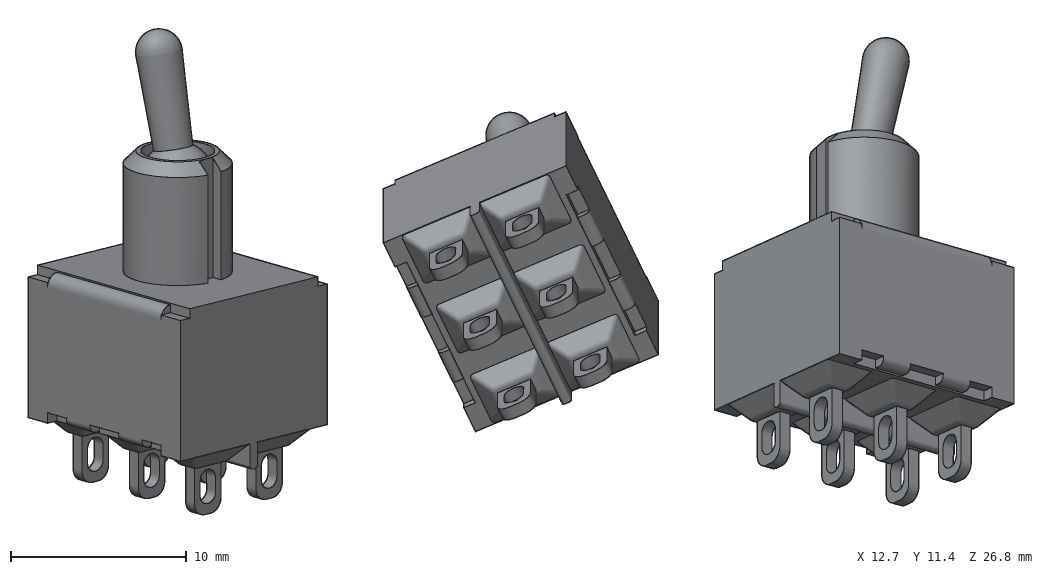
import cadquery as cq
import math


case_length = 12.7
case_width = 11.42
total_height = 26.8

case_bottom = 4.0
case_top = 12.87
panel_thickness = 0.72
panel_outer = case_width / 2
panel_inner = panel_outer - panel_thickness
window_length = 9.46
corner_notch_depth = 0.55
top_lip_drop = 0.095
window_top = 4.6

tab_length = 1.95
tab_offset = 2.17
tab_drop = 0.08
tab_bend_radius = 0.43

rib_thickness = 0.6
rib_bottom = 2.47
rib_edge_radius = 0.25

bushing_radius = 3.1
bushing_top = 19.97
bushing_chamfer = 0.72
keyway_width = 1.05
keyway_floor = bushing_radius - bushing_chamfer

terminal_pitch = 4.7
terminal_row_offset = 2.39
terminal_thickness = 0.75
terminal_width = 2.06
terminal_corner_radius = 0.8
eye_width = 1.2
eye_height = 2.0
eye_bottom = 0.62
base_length = 3.25
base_width = 4.45
base_height = 1.07
base_corner_radius = 0.32
base_taper_angle = 42.0
base_edge_radius = 0.43

ball_diameter = 4.2
ball_radius = ball_diameter / 2
ball_center = (0, 0, 18.35)
lever_tilt = 12.4
stem_root_radius = 1.07
stem_tip_radius = 1.35
stem_length = (total_height - stem_tip_radius - ball_center[2]) / math.cos(math.radians(lever_tilt))


def make_ball():
    """Ball of the lever, also used to form its seat in the bushing."""
    return cq.Workplane("XY").sphere(ball_radius).translate(ball_center)


def block_between(length, y_near, y_far, z_low, z_high, center_x=0):
    """Box centred on center_x along X, between the given Y and Z limits."""
    return (
        cq.Workplane("XY", origin=(center_x, (y_near + y_far) / 2, z_low))
        .box(length, abs(y_far - y_near), z_high - z_low, centered=(True, True, False))
    )


def make_core():
    """Middle of the case, between the two side panels."""
    return block_between(case_length, -panel_inner, panel_inner, case_bottom, case_top)


def make_side_panel():
    """Panel on the -Y side: square upper corners, a rolled upper lip, and a lower window."""
    lip_top = case_top - top_lip_drop
    lip_start = lip_top - panel_thickness
    shoulder = case_top - corner_notch_depth
    panel = block_between(case_length, -panel_outer, -panel_inner, case_bottom, shoulder)

    lip_space = block_between(window_length, -panel_outer, -panel_inner, lip_start, case_top)
    lip = (
        cq.Workplane("YZ", origin=(-window_length / 2, 0, 0))
        .moveTo(-panel_inner, lip_start)
        .lineTo(-panel_outer, lip_start)
        .radiusArc((-panel_inner, lip_top), panel_thickness)
        .close()
        .extrude(window_length)
    )
    window = block_between(window_length, -panel_outer, -panel_inner, case_bottom, window_top)
    panel = panel.cut(lip_space).union(lip).cut(window)
    for center_x in (-tab_offset, tab_offset):
        panel = panel.union(make_bent_tab(center_x))
    return panel


def make_bent_tab(center_x):
    """Tab at the top of the lower window, bent inward under the case."""
    bend_top = window_top - tab_drop
    tab_bottom = bend_top - tab_bend_radius
    return (
        cq.Workplane("YZ", origin=(center_x - tab_length / 2, 0, 0))
        .moveTo(-panel_outer, window_top)
        .lineTo(-panel_outer, bend_top)
        .radiusArc((-panel_outer + tab_bend_radius, tab_bottom), -tab_bend_radius)
        .lineTo(-panel_inner, tab_bottom)
        .lineTo(-panel_inner, window_top)
        .close()
        .extrude(tab_length)
    )


def make_rib():
    """Dividing rib under the case, with rounded lower edges."""
    rib = block_between(case_length, -rib_thickness / 2, rib_thickness / 2, rib_bottom, case_bottom)
    return rib.faces("<Z").edges("|X").fillet(rib_edge_radius)


def make_bushing():
    """Chamfered bushing with a keyway along its +X side."""
    bushing = (
        cq.Workplane("XY", origin=(0, 0, case_top))
        .circle(bushing_radius)
        .extrude(bushing_top - case_top)
        .faces(">Z")
        .chamfer(bushing_chamfer)
    )
    keyway = (
        cq.Workplane("XY", origin=(keyway_floor, 0, case_top))
        .box(bushing_radius, keyway_width, bushing_top - case_top, centered=(False, True, False))
    )
    return bushing.cut(keyway)


def make_ball_seat():
    """Bore from the top of the bushing down to a round seat for the ball."""
    bore = (
        cq.Workplane("XY", origin=ball_center)
        .circle(ball_radius)
        .extrude(bushing_top - ball_center[2])
    )
    return bore.union(make_ball())


def make_terminal(center_x, center_y):
    """Solder terminal with a slotted eye, hanging from a tapered base."""
    base = (
        cq.Workplane("XY", origin=(center_x, center_y, case_bottom))
        .rect(base_length, base_width)
        .extrude(-base_height, taper=base_taper_angle)
        .edges("not #Z")
        .fillet(base_corner_radius)
        .faces("<Z")
        .edges()
        .fillet(base_edge_radius)
    )
    blade = (
        cq.Workplane("XY", origin=(center_x, center_y, 0))
        .box(terminal_thickness, terminal_width, case_bottom, centered=(True, True, False))
        .faces("<Z")
        .edges("|X")
        .fillet(terminal_corner_radius)
    )
    eye = (
        cq.Workplane("YZ", origin=(center_x, center_y, eye_bottom + eye_height / 2))
        .slot2D(eye_height, eye_width, 90)
        .extrude(terminal_thickness, both=True)
    )
    return base.union(blade).cut(eye)


def make_housing():
    """Case, bushing, rib and terminals as one solid."""
    panel = make_side_panel()
    housing = make_core().union(panel).union(panel.mirror("XZ"))
    housing = housing.union(make_rib()).union(make_bushing()).cut(make_ball_seat())
    for column in (-1, 0, 1):
        for row in (-1, 1):
            housing = housing.union(make_terminal(column * terminal_pitch, row * terminal_row_offset))
    return housing


def make_lever():
    """Ball with a flared, round-tipped stem, tilted toward -X about the centre of the ball."""
    stem = (
        cq.Workplane("XZ")
        .lineTo(stem_root_radius, 0)
        .lineTo(stem_tip_radius, stem_length)
        .radiusArc((0, stem_length + stem_tip_radius), -stem_tip_radius)
        .close()
        .revolve(360, (0, 0, 0), (0, 1, 0))
        .rotate((0, 0, 0), (0, 1, 0), -lever_tilt)
        .translate(ball_center)
    )
    return make_ball().union(stem)


housing = make_housing()
lever = make_lever()
result = cq.Compound.makeCompound([housing.solids().val(), lever.solids().val()])